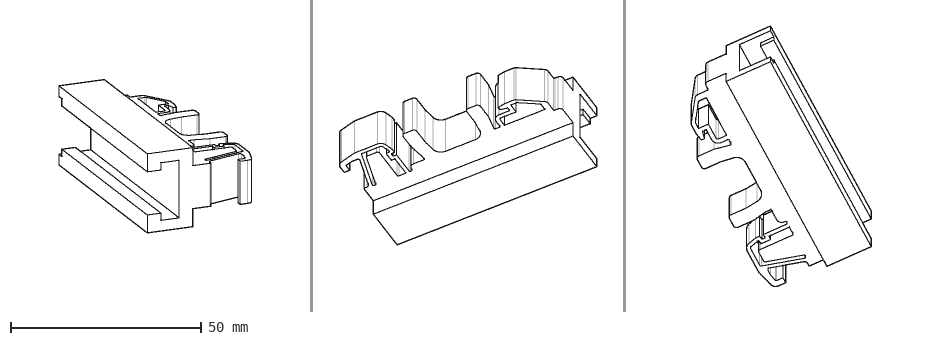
import cadquery as cq
import math


LENGTH = 60.0
CHANNEL_DEPTH = 13.0
CHANNEL_HEIGHT = 22.0
FLANGE = 3.0
WEB = 3.9
LIP_DEPTH = 3.9
LIP_HEIGHT = 2.0
LIP_SETBACK = 2.0

CLIP_HEIGHT = 12.0
TOP_Y = 30.9
LEFT_X = -LENGTH / 2
RIGHT_X = LENGTH / 2
SMALL_R = 0.3
CORNER_R = 0.5

SADDLE_Y = 19.9
ARM_INNER_X = 7.5
ARM_WIDTH = 4.1
ARM_BEND_Y = 25.6
ARM_INNER_LEAN = 0.75
ARM_OUTER_LEAN = 0.8
ARM_FOOT_Y = 21.4
ARM_TIP_R = 0.9
SADDLE_R = 2.6

LEFT_SHOULDER_Y = 19.35
LEFT_SHOULDER_R = 1.0
LATCH_X = LEFT_X + 2.25
LATCH_WALL = 1.25
LATCH_SIDE_WALL = 1.85
LATCH_FLOOR_Y = 20.85
LATCH_SIDE_TOP_Y = 23.1
LATCH_SIDE_R = 1.2
LATCH_TOP_Y = 27.85
LATCH_CREST_X = LEFT_X + 9.3
LATCH_CREST_R = 1.0
NOSE_ROOT_X = LEFT_X + 12.45
NOSE_TIP_X = LEFT_X + 14.55
NOSE_TIP_HIGH_Y = 27.4
NOSE_TIP_LOW_Y = 26.5
NOSE_ROOT_Y = 26.05
LATCH_STEP_Y = 24.95
LATCH_END_X = LEFT_X + 17.5
LATCH_END_R = 1.9

SLOT_FLOOR_Y = 17.85
SHOULDER_X = RIGHT_X - 14.7
SHOULDER_FOOT_X = RIGHT_X - 14.4
SHOULDER_R = 1.4
CLIP_X = RIGHT_X - 13.6
CLIP_WALL = 1.1
JOG = 1.05
JOG_ROOF = 0.8
NOTCH_LOW_Y = 24.95
NOTCH_INNER_Y = 25.85
NOTCH_HIGH_Y = 26.05
CLIP_LEAN_Y = 27.3
CLIP_LEAN_X = RIGHT_X - 12.5
CLIP_R = 1.9
HOOK_BEND_X = RIGHT_X - 4.25
HOOK_END_X = RIGHT_X + 1.6
HOOK_CORNER_Y = 29.3
HOOK_R = 1.75
HOOK_LOW_Y = 25.85
HOOK_WALL = 1.65
HOOK_INNER_Y = 27.95
HOOK_ROOF_Y = 28.45
HOOK_ROOF_X = RIGHT_X - 2.2
RIGHT_SHOULDER_Y = 18.25
STRUT_FOOT_X = RIGHT_X - 1.6
STRUT_FOOT_R = 0.8
STRUT_SLOPE = math.tan(math.radians(15))

CAVITY_ROOF_Y = 29.75
CAVITY_ROOF_X = RIGHT_X - 11.75
STRUT_INNER_X = RIGHT_X - 2.5
POST_X = RIGHT_X - 10.05
POST_TOP_Y = 28.3
POST_SLOPE_FOOT_X = RIGHT_X - 3.5
POST_R = 0.6


def rounded_outline(corners):
    """Closed wire through (x, y, radius) corners; a radius of 0 keeps the corner sharp."""
    edges = []
    stretch_ends = []
    for index, (x, y, radius) in enumerate(corners):
        corner = cq.Vector(x, y, 0)
        before = corners[index - 1]
        after = corners[(index + 1) % len(corners)]
        to_before = (cq.Vector(before[0], before[1], 0) - corner).normalized()
        to_after = (cq.Vector(after[0], after[1], 0) - corner).normalized()
        half_angle = to_before.getAngle(to_after) / 2
        setback = radius / math.tan(half_angle)
        arc_start = corner + to_before * setback
        arc_end = corner + to_after * setback
        stretch_ends.append((arc_start, arc_end))
        if radius > 0:
            bisector = (to_before + to_after).normalized()
            arc_middle = corner + bisector * (radius / math.sin(half_angle) - radius)
            edges.append(cq.Edge.makeThreePointArc(arc_start, arc_middle, arc_end))
    for index, (arc_start, _) in enumerate(stretch_ends):
        edges.append(cq.Edge.makeLine(stretch_ends[index - 1][1], arc_start))
    return cq.Wire.combine(edges)[0]


def clip_prism(corners):
    """Profile extruded over the clip height, centred on Z = 0."""
    wire = rounded_outline(corners)
    prism = cq.Solid.extrudeLinear(wire, [], cq.Vector(0, 0, CLIP_HEIGHT))
    return cq.Workplane("XY").add(prism).translate((0, 0, -CLIP_HEIGHT / 2))


def slanted_x(foot_x, foot_y, y):
    """X of a strut-parallel line through (foot_x, foot_y) at height y."""
    return foot_x - (y - foot_y) * STRUT_SLOPE


def latch_corners():
    return [
        (LEFT_X, LEFT_SHOULDER_Y, LEFT_SHOULDER_R),
        (LATCH_X, LEFT_SHOULDER_Y, SMALL_R),
        (LATCH_X, LATCH_SIDE_TOP_Y, LATCH_SIDE_R),
        (LATCH_CREST_X, LATCH_TOP_Y, LATCH_CREST_R),
        (NOSE_ROOT_X, LATCH_TOP_Y, 0),
        (NOSE_TIP_X, NOSE_TIP_HIGH_Y, 0),
        (NOSE_TIP_X, NOSE_TIP_LOW_Y, 0),
        (NOSE_ROOT_X, NOSE_ROOT_Y, 0),
        (NOSE_ROOT_X, LATCH_STEP_Y, 0),
        (LATCH_END_X, LATCH_STEP_Y, LATCH_END_R),
        (LATCH_END_X, LATCH_FLOOR_Y, SMALL_R),
    ]


def arm_corners(outer_floor_y, outer_floor_radius):
    """Right-hand arm, from the saddle floor over the tip to the floor outside it."""
    outer_x = ARM_INNER_X + ARM_WIDTH
    foot_x = outer_x - ARM_OUTER_LEAN
    return [
        (ARM_INNER_X - ARM_INNER_LEAN, SADDLE_Y, SADDLE_R),
        (ARM_INNER_X, ARM_BEND_Y, 0),
        (ARM_INNER_X, TOP_Y, ARM_TIP_R),
        (outer_x, TOP_Y, ARM_TIP_R),
        (outer_x, ARM_BEND_Y, 0),
        (foot_x, ARM_FOOT_Y, 0),
        (foot_x, outer_floor_y, outer_floor_radius),
    ]


def mirrored(corners):
    return [(-x, y, radius) for x, y, radius in reversed(corners)]


def hook_clip_corners():
    strut_top_x = slanted_x(STRUT_FOOT_X, RIGHT_SHOULDER_Y, HOOK_ROOF_Y)
    return [
        (SHOULDER_X, SADDLE_Y, SHOULDER_R),
        (SHOULDER_FOOT_X, SLOT_FLOOR_Y, SMALL_R),
        (CLIP_X, SLOT_FLOOR_Y, SMALL_R),
        (CLIP_X, NOTCH_LOW_Y, 0),
        (CLIP_X + JOG, NOTCH_LOW_Y, 0),
        (CLIP_X + JOG, NOTCH_INNER_Y, 0),
        (CLIP_X, NOTCH_HIGH_Y, 0),
        (CLIP_X, CLIP_LEAN_Y, 0),
        (CLIP_LEAN_X, TOP_Y, CLIP_R),
        (HOOK_BEND_X, TOP_Y, 0),
        (HOOK_END_X, HOOK_CORNER_Y, HOOK_R),
        (HOOK_END_X, HOOK_LOW_Y, 0),
        (HOOK_END_X - HOOK_WALL, HOOK_LOW_Y, 0),
        (HOOK_END_X - HOOK_WALL, HOOK_INNER_Y, SMALL_R),
        (HOOK_ROOF_X, HOOK_ROOF_Y, 0),
        (strut_top_x, HOOK_ROOF_Y, CORNER_R),
        (STRUT_FOOT_X, RIGHT_SHOULDER_Y, STRUT_FOOT_R),
        (RIGHT_X, RIGHT_SHOULDER_Y, SMALL_R),
    ]


def make_clip_body():
    """Full clip outline, seated on the back of the channel web."""
    back_y = CHANNEL_DEPTH - WEB / 2
    corners = [(LEFT_X, back_y, 0)]
    corners += latch_corners()
    corners += mirrored(arm_corners(LATCH_FLOOR_Y, SMALL_R))
    corners += arm_corners(SADDLE_Y, 0)
    corners += hook_clip_corners()
    corners += [(RIGHT_X, back_y, 0)]
    return clip_prism(corners)


def make_latch_cavity():
    inner_x = LATCH_X + LATCH_SIDE_WALL
    inner_end_x = LATCH_END_X - LATCH_WALL
    roof_y = LATCH_TOP_Y - LATCH_WALL
    step_x = NOSE_ROOT_X - LATCH_WALL
    step_y = LATCH_STEP_Y - LATCH_WALL
    return clip_prism([
        (inner_x, LATCH_FLOOR_Y, 0),
        (inner_x, LATCH_SIDE_TOP_Y, CORNER_R),
        (LATCH_CREST_X, roof_y, 0),
        (step_x, roof_y, 0),
        (step_x, step_y, 0),
        (inner_end_x, step_y, CORNER_R),
        (inner_end_x, LATCH_FLOOR_Y, 0),
    ])


def make_hook_clip_cavity():
    """Space between the thin clip wall, the slanted strut and the post."""
    inner_x = CLIP_X + CLIP_WALL
    jog_x = inner_x + JOG
    roof_end_x = slanted_x(STRUT_INNER_X, SLOT_FLOOR_Y, CAVITY_ROOF_Y)
    post_end_x = slanted_x(POST_SLOPE_FOOT_X, SLOT_FLOOR_Y, POST_TOP_Y)
    return clip_prism([
        (inner_x, SLOT_FLOOR_Y, 0),
        (inner_x, NOTCH_LOW_Y - CLIP_WALL, 0),
        (jog_x, NOTCH_LOW_Y - CLIP_WALL, 0),
        (jog_x, NOTCH_INNER_Y + JOG_ROOF, 0),
        (inner_x, NOTCH_HIGH_Y + JOG_ROOF, 0),
        (inner_x, CLIP_LEAN_Y, 0),
        (CAVITY_ROOF_X, CAVITY_ROOF_Y, CORNER_R),
        (roof_end_x, CAVITY_ROOF_Y, CORNER_R),
        (STRUT_INNER_X, SLOT_FLOOR_Y, SMALL_R),
        (POST_SLOPE_FOOT_X, SLOT_FLOOR_Y, SMALL_R),
        (post_end_x, POST_TOP_Y, POST_R),
        (POST_X, POST_TOP_Y, POST_R),
        (POST_X, SLOT_FLOOR_Y, SMALL_R),
    ])


def box(x_range, y_range, z_range):
    size = [high - low for low, high in (x_range, y_range, z_range)]
    corner = (x_range[0], y_range[0], z_range[0])
    return cq.Workplane("XY").box(*size, centered=False).translate(corner)


def make_channel():
    """C-channel open toward -Y, with two inward lips along its mouth."""
    half_height = CHANNEL_HEIGHT / 2
    half_inside = half_height - FLANGE
    half_mouth = half_inside - LIP_HEIGHT
    full_length = (LEFT_X, RIGHT_X)
    lip_length = (LEFT_X + LIP_SETBACK, RIGHT_X)
    channel = box(full_length, (0, CHANNEL_DEPTH), (-half_height, half_height))
    channel = channel.cut(box(full_length, (0, CHANNEL_DEPTH - WEB), (-half_inside, half_inside)))
    for lip_z in ((half_mouth, half_inside), (-half_inside, -half_mouth)):
        channel = channel.union(box(lip_length, (0, LIP_DEPTH), lip_z))
    return channel


clip = make_clip_body().cut(make_latch_cavity()).cut(make_hook_clip_cavity())
result = make_channel().union(clip)